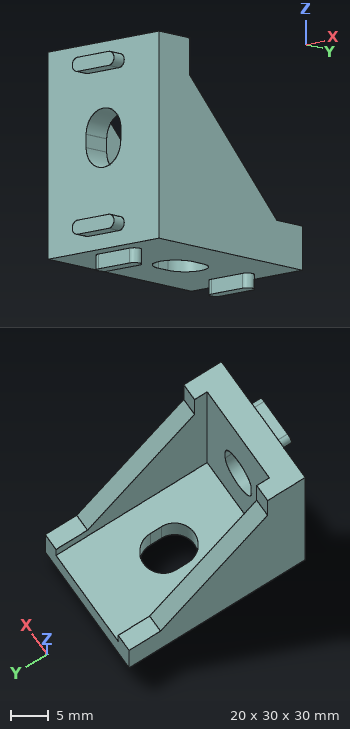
import cadquery as cq

width = 20.0
leg_length = 28.0
leg_end_height = 6.0
leg_end_flat = 5.0
plate_thickness = 4.0
wall_thickness = 2.6

slot_width = 6.2
slot_length = 8.0
slot_position = 15.0

tab_width = 1.9
tab_length = 7.5
tab_height = 2.0
tab_inset = 3.0
tab_positions = (tab_inset, leg_length - tab_inset)


def make_body():
    """Right-angle bracket with gusset walls on both sides."""
    slope_start = leg_length - leg_end_flat
    outline = [
        (0, 0),
        (leg_length, 0),
        (leg_length, leg_end_height),
        (slope_start, leg_end_height),
        (leg_end_height, slope_start),
        (leg_end_height, leg_length),
        (0, leg_length),
    ]
    return cq.Workplane("YZ").polyline(outline).close().extrude(width / 2, both=True)


def make_channel():
    """Open space between the side walls, above both plates."""
    channel_width = width - 2 * wall_thickness
    channel_depth = leg_length - plate_thickness
    return (
        cq.Workplane("XY")
        .box(channel_width, channel_depth, channel_depth, centered=(True, False, False))
        .translate((0, plate_thickness, plate_thickness))
    )


def make_base_slot():
    """Cutter for the slot through the horizontal plate."""
    return (
        cq.Workplane("XY")
        .center(0, slot_position)
        .slot2D(slot_length, slot_width, 90)
        .extrude(plate_thickness)
    )


def make_base_tabs():
    """Round-ended tabs below the horizontal plate."""
    centres = [(0, position) for position in tab_positions]
    return (
        cq.Workplane("XY")
        .pushPoints(centres)
        .slot2D(tab_length, tab_width)
        .extrude(-tab_height)
    )


def swap_legs(shape):
    """Carry a feature of the horizontal leg over to the vertical leg (swaps Y and Z).

    The turn about X takes +Y to +Z and +Z to -Y; the mirror restores -Y to +Y.
    """
    return shape.rotate((0, 0, 0), (1, 0, 0), 90).mirror("XZ")


base_slot = make_base_slot()
base_tabs = make_base_tabs()

result = (
    make_body()
    .cut(make_channel())
    .cut(base_slot)
    .cut(swap_legs(base_slot))
    .union(base_tabs)
    .union(swap_legs(base_tabs))
)